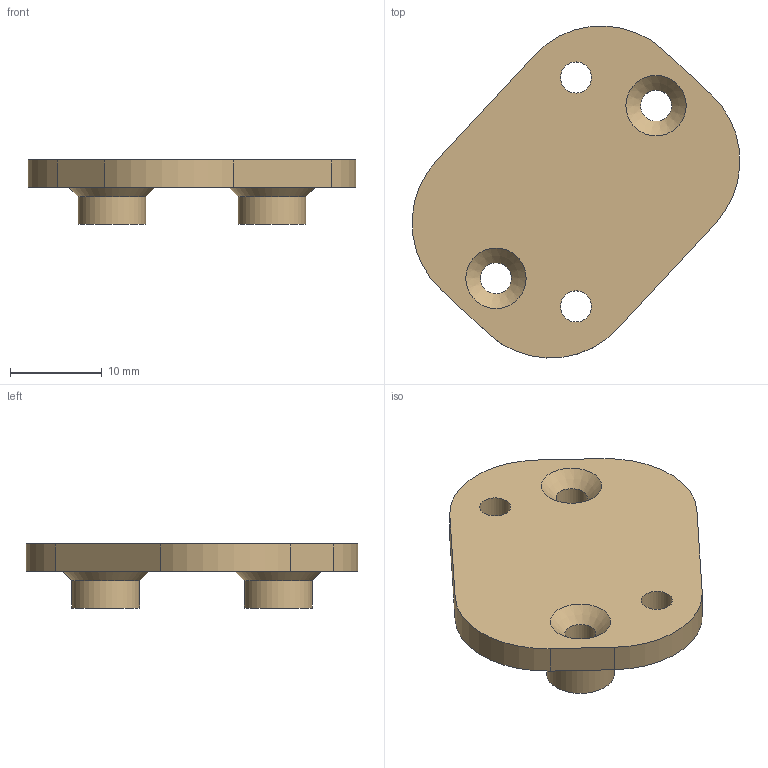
import cadquery as cq
import math

plate_thickness = 3.0
plate_width = 27.0
corner_radius = 10.0
edge_margin = 5.0

plain_hole_pitch = 25.0
clearance_diameter = 3.4

screw_pitch = 25.71
countersink_diameter = 6.6
countersink_angle = 90.0

boss_diameter = 7.4
boss_height = 4.0
boss_flare = 1.0

plate_length = screw_pitch + 2 * edge_margin
long_axis_angle = math.acos((plate_width - 2 * edge_margin) / plain_hole_pitch)

screw_x = screw_pitch / 2 * math.cos(long_axis_angle)
screw_y = screw_pitch / 2 * math.sin(long_axis_angle)
screw_points = [(screw_x, screw_y), (-screw_x, -screw_y)]
plain_hole_points = [(0, plain_hole_pitch / 2), (0, -plain_hole_pitch / 2)]


def make_plate():
    """Rounded rectangle with its underside at Z = 0."""
    return (
        cq.Workplane("XY")
        .rect(plate_length, plate_width)
        .extrude(plate_thickness)
        .edges("|Z")
        .fillet(corner_radius)
        .rotate((0, 0, 0), (0, 0, 1), math.degrees(long_axis_angle))
    )


def make_boss(x, y):
    """Round boss hanging from the plate, flared at its root."""
    boss_radius = boss_diameter / 2
    return (
        cq.Workplane("XZ")
        .moveTo(0, 0)
        .lineTo(boss_radius + boss_flare, 0)
        .lineTo(boss_radius, -boss_flare)
        .lineTo(boss_radius, -boss_height)
        .lineTo(0, -boss_height)
        .close()
        .revolve(360, (0, 0, 0), (0, 1, 0))
        .translate((x, y, 0))
    )


def drill_plain_holes(body):
    return (
        body.faces(">Z")
        .workplane(origin=(0, 0, plate_thickness))
        .pushPoints(plain_hole_points)
        .hole(clearance_diameter)
    )


def drill_screw_holes(body):
    """Countersunk from the top, through plate and bosses."""
    return (
        body.faces(">Z")
        .workplane(origin=(0, 0, plate_thickness))
        .pushPoints(screw_points)
        .cskHole(clearance_diameter, countersink_diameter, countersink_angle)
    )


body = make_plate()
for x, y in screw_points:
    body = body.union(make_boss(x, y))
body = drill_plain_holes(body)
result = drill_screw_holes(body)